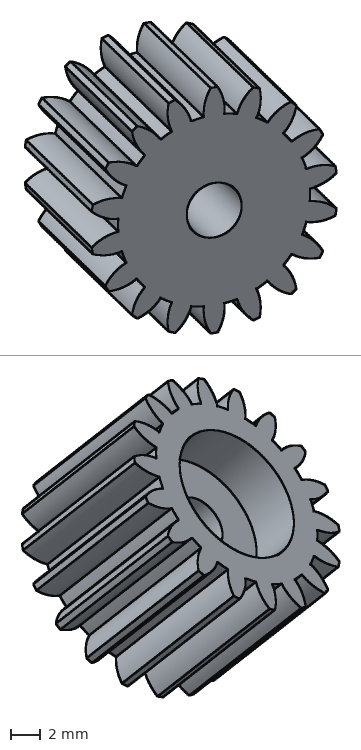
import cadquery as cq
import math

tooth_count = 18
face_width = 12.0
tip_radius = 9.0
root_radius = 6.98
bore_diameter = 4.0
recess_diameter = 9.9
recess_depth = 4.0

root_half_width = 0.75
flank_mid_half_width = 0.67
flank_mid_height = 8.03
tip_half_width = 0.25

overlap = 0.36


def make_tooth():
    tip_corner_height = math.sqrt(tip_radius**2 - tip_half_width**2)
    root_corner_height = math.sqrt(root_radius**2 - root_half_width**2)
    foot_height = root_radius - overlap
    return (
        cq.Workplane("YZ")
        .moveTo(-root_half_width, foot_height)
        .lineTo(-root_half_width, root_corner_height)
        .threePointArc((-flank_mid_half_width, flank_mid_height), (-tip_half_width, tip_corner_height))
        .threePointArc((0, tip_radius), (tip_half_width, tip_corner_height))
        .threePointArc((flank_mid_half_width, flank_mid_height), (root_half_width, root_corner_height))
        .lineTo(root_half_width, foot_height)
        .close()
        .extrude(face_width)
    )


gear = cq.Workplane("YZ").circle(root_radius).extrude(face_width)
tooth = make_tooth()
for index in range(tooth_count):
    angle = index * 360 / tooth_count
    gear = gear.union(tooth.rotate((0, 0, 0), (1, 0, 0), angle))

bore = cq.Workplane("YZ").circle(bore_diameter / 2).extrude(face_width)
recess = cq.Workplane("YZ").circle(recess_diameter / 2).extrude(recess_depth)

result = gear.cut(bore).cut(recess)